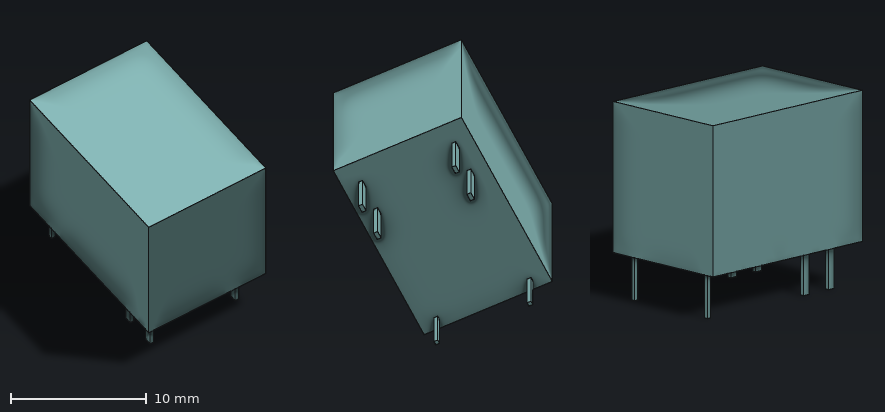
import cadquery as cq

body_length = 15.5
body_width = 10.5
body_height = 11.5

pin_length = 3.5
pin_embed = 0.15
pin_thickness = 0.33
coil_pin_width = 0.33
contact_pin_width = 0.6
row_spacing = 7.63
coil_pin_x = -6.91
coil_to_contact = 10.1
contact_pitch = 2.57

first_contact_x = coil_pin_x + coil_to_contact
pins = [
    (coil_pin_x, coil_pin_width),
    (first_contact_x, contact_pin_width),
    (first_contact_x + contact_pitch, contact_pin_width),
]


def make_pin(x, y, width):
    """Rectangular pin hanging below the housing floor at Z = 0."""
    return (
        cq.Workplane("XY", origin=(x, y, -pin_length))
        .rect(width, pin_thickness)
        .extrude(pin_length + pin_embed)
    )


result = cq.Workplane("XY").box(body_length, body_width, body_height, centered=(True, True, False))

for x, width in pins:
    for side in (-1, 1):
        result = result.union(make_pin(x, side * row_spacing / 2, width))